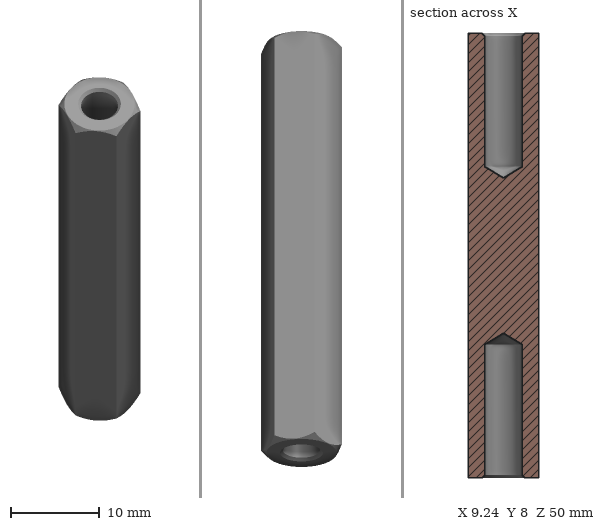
import cadquery as cq
import math

length = 50.0
across_flats = 8.0
across_corners = across_flats / math.cos(math.pi / 6)

end_face_diameter = 7.9
chamfer_angle = math.radians(45)

hole_diameter = 4.15
mouth_diameter = 4.8
mouth_depth = (mouth_diameter - hole_diameter) / 2
hole_depth = 15.0
drill_point_angle = math.radians(118)
drill_point_depth = hole_diameter / 2 / math.tan(drill_point_angle / 2)


def hexagon_body():
    """Hexagonal bar with corners on the X axis, rounded off by a cone at each end."""
    bar = cq.Workplane("XY").polygon(6, across_corners).extrude(length)
    corner_radius = across_corners / 2
    face_radius = end_face_diameter / 2
    chamfer_height = (corner_radius - face_radius) * math.tan(chamfer_angle)
    envelope = (
        cq.Workplane("XZ")
        .moveTo(0, 0)
        .lineTo(face_radius, 0)
        .lineTo(corner_radius, chamfer_height)
        .lineTo(corner_radius, length - chamfer_height)
        .lineTo(face_radius, length)
        .lineTo(0, length)
        .close()
        .revolve(360, (0, 0, 0), (0, 1, 0))
    )
    return bar.intersect(envelope)


def top_hole():
    """Solid of the blind hole that opens at the top end."""
    hole_radius = hole_diameter / 2
    hole_bottom = length - hole_depth
    return (
        cq.Workplane("XZ")
        .moveTo(0, length)
        .lineTo(mouth_diameter / 2, length)
        .lineTo(hole_radius, length - mouth_depth)
        .lineTo(hole_radius, hole_bottom)
        .lineTo(0, hole_bottom - drill_point_depth)
        .close()
        .revolve(360, (0, 0, 0), (0, 1, 0))
    )


upper_hole = top_hole()
lower_hole = upper_hole.mirror("XY", (0, 0, length / 2))
result = hexagon_body().cut(upper_hole).cut(lower_hole)